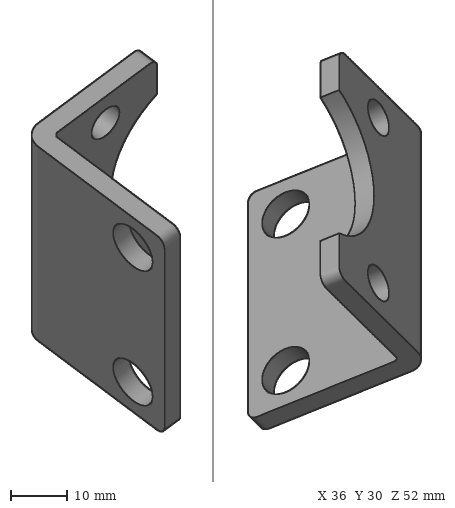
import cadquery as cq

height = 52.0
base_length = 36.0
side_length = 30.0
thickness = 4.0

outer_bend_radius = 4.0
inner_bend_radius = 1.0
corner_radius = 2.0

base_hole_diameter = 10.0
base_hole_x = 28.0
base_hole_spacing = 36.0

side_hole_diameter = 7.0
side_hole_y = 17.0
side_hole_spacing = 38.0

cutout_radius = 17.5
cutout_center_offset = 6.0
cutout_center_y = side_length + cutout_center_offset

mid_height = height / 2


def make_angle():
    """L-shaped section with its outer bend along the Z axis, extruded upward."""
    angle = (
        cq.Workplane("XY")
        .moveTo(0, 0)
        .lineTo(base_length, 0)
        .lineTo(base_length, thickness)
        .lineTo(thickness, thickness)
        .lineTo(thickness, side_length)
        .lineTo(0, side_length)
        .close()
        .extrude(height)
    )
    inner_corner = cq.selectors.NearestToPointSelector((thickness, thickness, mid_height))
    outer_corner = cq.selectors.NearestToPointSelector((0, 0, mid_height))
    angle = angle.edges(inner_corner).fillet(inner_bend_radius)
    angle = angle.edges(outer_corner).fillet(outer_bend_radius)
    angle = angle.faces(">X").edges("|Y").fillet(corner_radius)
    return angle.faces(">Y").edges("|X").fillet(corner_radius)


def base_cylinder(x, z, diameter):
    """Cutter along Y through the base leg."""
    return cq.Workplane("XZ").center(x, z).circle(diameter / 2).extrude(-thickness)


def side_cylinder(y, z, diameter):
    """Cutter along X through the side leg."""
    return cq.Workplane("YZ").center(y, z).circle(diameter / 2).extrude(thickness)


result = make_angle()

for side in (-1, 1):
    base_hole_z = mid_height + side * base_hole_spacing / 2
    side_hole_z = mid_height + side * side_hole_spacing / 2
    result = result.cut(base_cylinder(base_hole_x, base_hole_z, base_hole_diameter))
    result = result.cut(side_cylinder(side_hole_y, side_hole_z, side_hole_diameter))

result = result.cut(side_cylinder(cutout_center_y, mid_height, 2 * cutout_radius))